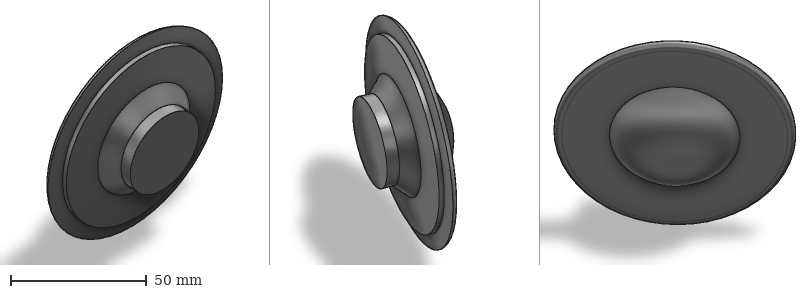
import cadquery as cq
import math


disc_radius = 89.0 / 2
rim_edge_x = 2.4
rim_round_radius = 3.0
rim_back_slope = math.radians(8)

step_radius = 76.0 / 2
step_height = 2.05
step_back_slope = math.radians(6)

dome_base_radius = 24.0
dome_height = 13.09

total_length = 30.99
spigot_radius = 35.0 / 2
spigot_length = 4.9
neck_length = 6.0
neck_slope = math.radians(45)


def rim_rounding():
    """Start, middle and end points of the arc that rounds the front of the rim."""
    end_angle = math.acos((rim_round_radius - rim_edge_x) / rim_round_radius)
    center_r = disc_radius - rim_round_radius * math.sin(end_angle)

    def arc_point(angle):
        return (
            rim_round_radius * (1 - math.cos(angle)),
            center_r + rim_round_radius * math.sin(angle),
        )

    return arc_point(0), arc_point(end_angle / 2), arc_point(end_angle)


def dome_arc_middle():
    """Point halfway along the dome's arc, between its base and its tip."""
    sphere_radius = (dome_base_radius**2 + dome_height**2) / (2 * dome_height)
    center_x = sphere_radius - dome_height
    half_angle = math.asin(dome_base_radius / sphere_radius) / 2
    return (
        center_x - sphere_radius * math.cos(half_angle),
        sphere_radius * math.sin(half_angle),
    )


def turned_body():
    """Half section in (x, radius), revolved about the X axis."""
    rim_start, rim_middle, rim_end = rim_rounding()
    step_front_x = rim_edge_x + (disc_radius - step_radius) * math.tan(rim_back_slope)
    step_back_x = step_front_x + step_height
    neck_base_radius = spigot_radius + neck_length * math.tan(neck_slope)
    neck_base_x = step_back_x + (step_radius - neck_base_radius) * math.tan(step_back_slope)
    spigot_end_x = total_length - dome_height
    spigot_start_x = spigot_end_x - spigot_length

    profile = (
        cq.Workplane("XY")
        .moveTo(-dome_height, 0)
        .threePointArc(dome_arc_middle(), (0, dome_base_radius))
        .lineTo(*rim_start)
        .threePointArc(rim_middle, rim_end)
        .lineTo(step_front_x, step_radius)
        .lineTo(step_back_x, step_radius)
        .lineTo(neck_base_x, neck_base_radius)
        .lineTo(spigot_start_x, spigot_radius)
        .lineTo(spigot_end_x, spigot_radius)
        .lineTo(spigot_end_x, 0)
        .close()
    )
    return profile.revolve(360, (0, 0, 0), (1, 0, 0))


result = turned_body()